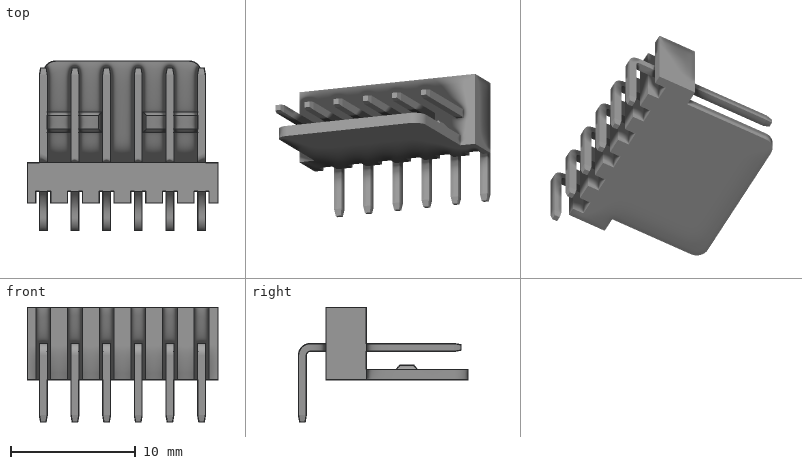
import cadquery as cq


pin_count = 6
pin_pitch = 2.54
pin_size = 0.64
pin_axis_z = 2.59
pin_leg_bottom_z = -3.4
pin_tip_length = 0.55
pin_tip_inset = 0.1
bend_inner_radius = pin_size / 2
bend_outer_radius = bend_inner_radius + pin_size
pin_positions = [(i - (pin_count - 1) / 2) * pin_pitch for i in range(pin_count)]

block_width = 15.3
block_center_x = 0.025
block_depth = 3.25
block_height = 5.8
block_front_y = 1.88
block_back_y = block_front_y + block_depth
slot_width = 1.18
slot_depth = 0.95

plate_width = (pin_count - 1) * pin_pitch
plate_thickness = 0.84
plate_end_y = 13.3
plate_corner_radius = 1.0
pin_setback = 0.56
pin_end_y = plate_end_y - pin_setback

ridge_depth = 1.68
ridge_height = 0.33
ridge_inset = 0.28
ridge_inner_x = 1.63
ridge_outer_x = plate_width / 2
ridge_length = ridge_outer_x - ridge_inner_x
ridge_center_x = (ridge_outer_x + ridge_inner_x) / 2
ridge_center_y = 8.38


def tapered_block(base_plane, base_length, base_width, height, inset):
    """Frustum on a rectangular base whose four sides lean in by the inset."""
    return (
        base_plane
        .rect(base_length, base_width)
        .workplane(offset=height)
        .rect(base_length - 2 * inset, base_width - 2 * inset)
        .loft()
    )


def make_housing():
    """Slotted upright block with the locking plate along its lower back edge."""
    block = cq.Workplane("XY").box(
        block_width, block_depth, block_height, centered=(True, False, False)
    ).translate((block_center_x, block_front_y, 0))
    slots = (
        cq.Workplane("XY")
        .pushPoints([(x, block_front_y + slot_depth / 2) for x in pin_positions])
        .rect(slot_width, slot_depth)
        .extrude(block_height)
    )
    plate = (
        cq.Workplane("XY")
        .box(plate_width, plate_end_y - block_back_y, plate_thickness, centered=(True, False, False))
        .edges("|Z and >Y")
        .fillet(plate_corner_radius)
        .translate((0, block_back_y, 0))
    )
    return block.cut(slots).union(plate)


def make_pin(x):
    """Square pin bent down through 90 degrees, with a tapered tip at each end."""
    half = pin_size / 2
    shank_end_y = pin_end_y - pin_tip_length
    leg_end_z = pin_leg_bottom_z + pin_tip_length
    bar = (
        cq.Workplane("YZ", origin=(x - half, 0, 0))
        .moveTo(shank_end_y, pin_axis_z + half)
        .lineTo(-half + bend_outer_radius, pin_axis_z + half)
        .radiusArc((-half, pin_axis_z + half - bend_outer_radius), -bend_outer_radius)
        .lineTo(-half, leg_end_z)
        .lineTo(half, leg_end_z)
        .lineTo(half, pin_axis_z - half - bend_inner_radius)
        .radiusArc((half + bend_inner_radius, pin_axis_z - half), bend_inner_radius)
        .lineTo(shank_end_y, pin_axis_z - half)
        .close()
        .extrude(pin_size)
    )
    back_plane = cq.Workplane(
        cq.Plane(origin=(x, shank_end_y, pin_axis_z), xDir=(1, 0, 0), normal=(0, 1, 0))
    )
    leg_plane = cq.Workplane(
        cq.Plane(origin=(x, 0, leg_end_z), xDir=(1, 0, 0), normal=(0, 0, -1))
    )
    for tip_plane in (back_plane, leg_plane):
        bar = bar.union(tapered_block(tip_plane, pin_size, pin_size, pin_tip_length, pin_tip_inset))
    return bar


def make_header():
    """Housing and its row of pins, joined into one solid."""
    header = make_housing()
    for x in pin_positions:
        header = header.union(make_pin(x))
    return header


def make_ridge(side):
    """Ridge with four sloping sides, resting on one half of the plate."""
    base_plane = cq.Workplane(
        "XY", origin=(side * ridge_center_x, ridge_center_y, plate_thickness)
    )
    return tapered_block(base_plane, ridge_length, ridge_depth, ridge_height, ridge_inset)


header = make_header()
ridges = [make_ridge(side) for side in (-1, 1)]

result = cq.Compound.makeCompound([header.solids().val(), *[ridge.val() for ridge in ridges]])